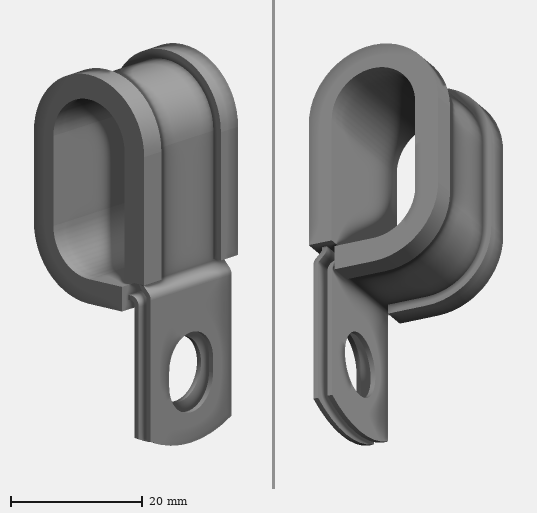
import cadquery as cq
import math


loop_width_x = 22.01
cushion_width_y = 22.1
total_height = 58.6

rim_radius = loop_width_x / 2
wall_thickness = 3.9
bore_radius = rim_radius - wall_thickness
recess_depth = 1.5
strap_outer_radius = rim_radius - recess_depth

arc_center_spacing = 14.25
lower_center_z = -arc_center_spacing
right_leg_end_z = -20.3
bottom_leg_end_x = 6.6
recess_width = 14.0
rim_width = (cushion_width_y - recess_width) / 2

strap_thickness = 0.8
strap_inner_radius = strap_outer_radius - strap_thickness
bend_inner_radius = 0.7
bend_outer_radius = bend_inner_radius + strap_thickness
tab_width = 19.0
tab_bottom_z = rim_radius - total_height
tab_corner_rise = 2.2
inner_tab_outer_x = 8.6
outer_tab_outer_x = rim_radius
offset_bend_start = 0.3
offset_bend_angle = math.radians(45)

hole_diameter = 10.3
hole_height_above_tip = 11.15
slot_arc_spacing = 2.4


def arc_point(center_x, center_z, radius, angle):
    """Point on a circle, with the angle measured from +X toward +Z."""
    return (center_x + radius * math.cos(angle), center_z + radius * math.sin(angle))


def extrude_along_y(profile, width, center_y=0.0):
    """Extrude an XZ profile by a width centred on center_y."""
    return profile.extrude(width / 2, both=True).translate((0, center_y, 0))


def loop_band(inner_radius, outer_radius, width, center_y=0.0):
    """Open loop: right leg, top half circle, left leg, quarter circle and bottom leg."""
    lower_left = math.radians(225)
    profile = (
        cq.Workplane("XZ")
        .moveTo(outer_radius, right_leg_end_z)
        .lineTo(outer_radius, 0)
        .threePointArc((0, outer_radius), (-outer_radius, 0))
        .lineTo(-outer_radius, lower_center_z)
        .threePointArc(
            arc_point(0, lower_center_z, outer_radius, lower_left),
            (0, lower_center_z - outer_radius),
        )
        .lineTo(bottom_leg_end_x, lower_center_z - outer_radius)
        .lineTo(bottom_leg_end_x, lower_center_z - inner_radius)
        .lineTo(0, lower_center_z - inner_radius)
        .threePointArc(
            arc_point(0, lower_center_z, inner_radius, lower_left),
            (-inner_radius, lower_center_z),
        )
        .lineTo(-inner_radius, 0)
        .threePointArc((0, inner_radius), (inner_radius, 0))
        .lineTo(inner_radius, right_leg_end_z)
        .close()
    )
    return extrude_along_y(profile, width, center_y)


def inner_tab():
    """Tab that leaves the bottom leg and turns straight down."""
    top_z = lower_center_z - strap_inner_radius
    bend_x = inner_tab_outer_x - bend_outer_radius
    bend_z = top_z - bend_outer_radius
    mid_bend = math.radians(45)
    profile = (
        cq.Workplane("XZ")
        .moveTo(bottom_leg_end_x, top_z)
        .lineTo(bend_x, top_z)
        .threePointArc(
            arc_point(bend_x, bend_z, bend_outer_radius, mid_bend),
            (inner_tab_outer_x, bend_z),
        )
        .lineTo(inner_tab_outer_x, tab_bottom_z)
        .lineTo(bend_x + bend_inner_radius, tab_bottom_z)
        .lineTo(bend_x + bend_inner_radius, bend_z)
        .threePointArc(
            arc_point(bend_x, bend_z, bend_inner_radius, mid_bend),
            (bend_x, bend_z + bend_inner_radius),
        )
        .lineTo(bottom_leg_end_x, bend_z + bend_inner_radius)
        .close()
    )
    return extrude_along_y(profile, tab_width)


def outer_tab():
    """Tab that leaves the right leg and steps outward through two opposite bends."""
    upper_x = strap_outer_radius + bend_inner_radius
    upper_z = right_leg_end_z - offset_bend_start
    lower_x = outer_tab_outer_x - bend_outer_radius

    center_shift = upper_x - lower_x
    bend_radius_sum = bend_inner_radius + bend_outer_radius
    slant_run = bend_radius_sum * math.cos(offset_bend_angle) - center_shift
    slant_drop = slant_run / math.tan(offset_bend_angle)
    lower_z = upper_z - bend_radius_sum * math.sin(offset_bend_angle) - slant_drop

    upper_end = math.pi + offset_bend_angle
    upper_mid = math.pi + offset_bend_angle / 2
    lower_start = offset_bend_angle
    lower_mid = offset_bend_angle / 2
    profile = (
        cq.Workplane("XZ")
        .moveTo(strap_outer_radius, right_leg_end_z)
        .lineTo(strap_outer_radius, upper_z)
        .threePointArc(
            arc_point(upper_x, upper_z, bend_inner_radius, upper_mid),
            arc_point(upper_x, upper_z, bend_inner_radius, upper_end),
        )
        .lineTo(*arc_point(lower_x, lower_z, bend_outer_radius, lower_start))
        .threePointArc(
            arc_point(lower_x, lower_z, bend_outer_radius, lower_mid),
            (outer_tab_outer_x, lower_z),
        )
        .lineTo(outer_tab_outer_x, tab_bottom_z)
        .lineTo(lower_x + bend_inner_radius, tab_bottom_z)
        .lineTo(lower_x + bend_inner_radius, lower_z)
        .threePointArc(
            arc_point(lower_x, lower_z, bend_inner_radius, lower_mid),
            arc_point(lower_x, lower_z, bend_inner_radius, lower_start),
        )
        .lineTo(*arc_point(upper_x, upper_z, bend_outer_radius, upper_end))
        .threePointArc(
            arc_point(upper_x, upper_z, bend_outer_radius, upper_mid),
            (strap_inner_radius, upper_z),
        )
        .lineTo(strap_inner_radius, right_leg_end_z)
        .close()
    )
    return extrude_along_y(profile, tab_width)


def tab_outline():
    """Block along X with the tabs' straight sides and shallow rounded tip."""
    half_width = tab_width / 2
    corner_z = tab_bottom_z + tab_corner_rise
    return (
        cq.Workplane("YZ")
        .moveTo(-half_width, right_leg_end_z)
        .lineTo(-half_width, corner_z)
        .threePointArc((0, tab_bottom_z), (half_width, corner_z))
        .lineTo(half_width, right_leg_end_z)
        .close()
        .extrude(loop_width_x)
    )


def hole_plane():
    """YZ workplane centred on the mounting holes."""
    return cq.Workplane("YZ").center(0, tab_bottom_z + hole_height_above_tip)


def round_hole():
    """Cylinder along X."""
    return hole_plane().circle(hole_diameter / 2).extrude(loop_width_x)


def slotted_hole():
    """Slot along X, lengthened along Z."""
    slot_length = hole_diameter + slot_arc_spacing
    return hole_plane().slot2D(slot_length, hole_diameter, 90).extrude(loop_width_x)


loop = loop_band(bore_radius, strap_outer_radius, cushion_width_y)
rim_center_y = (cushion_width_y - rim_width) / 2
for side in (-1, 1):
    loop = loop.union(loop_band(bore_radius, rim_radius, rim_width, side * rim_center_y))

drilled_inner_tab = inner_tab().cut(round_hole())
slotted_outer_tab = outer_tab().cut(slotted_hole())
tabs = drilled_inner_tab.union(slotted_outer_tab).intersect(tab_outline())

result = loop.union(tabs)